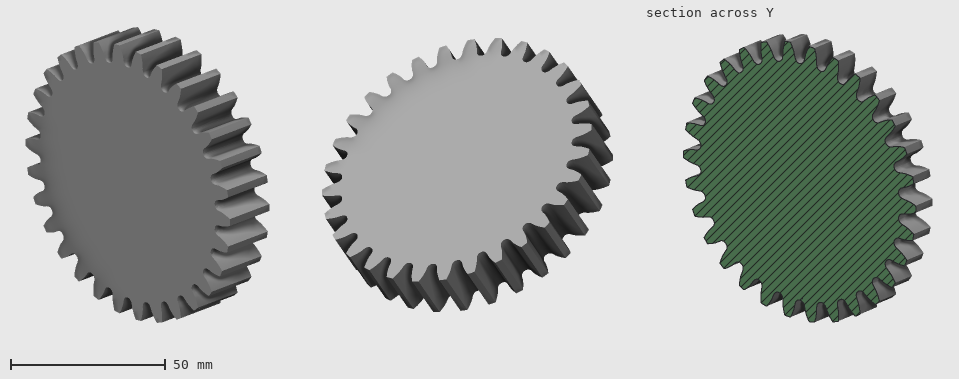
import cadquery as cq
import math

MODULE = 3.0
TOOTH_COUNT = 30
PRESSURE_ANGLE = math.radians(20)
PROFILE_SHIFT = -0.3
ADDENDUM = 1.0
DEDENDUM = 1.25
RACK_TIP_ROUNDING = 0.38
FACE_WIDTH = 18.0
CURVE_STEPS = 6

pitch_radius = MODULE * TOOTH_COUNT / 2
base_radius = pitch_radius * math.cos(PRESSURE_ANGLE)
tip_radius = pitch_radius + MODULE * (ADDENDUM + PROFILE_SHIFT)
root_depth = MODULE * (DEDENDUM - PROFILE_SHIFT)
root_radius = pitch_radius - root_depth
tooth_pitch = 2 * math.pi / TOOTH_COUNT
pitch_half_angle = (math.pi / 2 + 2 * PROFILE_SHIFT * math.tan(PRESSURE_ANGLE)) / TOOTH_COUNT

corner_radius = MODULE * RACK_TIP_ROUNDING
corner_depth = root_depth - corner_radius
corner_offset = (
    MODULE * math.pi / 4
    - (MODULE * DEDENDUM - corner_radius) * math.tan(PRESSURE_ANGLE)
    - corner_radius / math.cos(PRESSURE_ANGLE)
)


def involute(angle):
    return math.tan(angle) - angle


def flank_half_angle(radius):
    """Angle from the tooth's centre line to its involute flank at a radius."""
    return pitch_half_angle + involute(PRESSURE_ANGLE) - involute(math.acos(base_radius / radius))


def fillet_point(normal_angle):
    """Radius and angle from the gap's centre line of a point on the root fillet."""
    corner_x = corner_depth / math.tan(normal_angle)
    across = corner_x + corner_radius * math.cos(normal_angle)
    outward = pitch_radius - corner_depth - corner_radius * math.sin(normal_angle)
    gear_turn = (corner_x - corner_offset) / pitch_radius
    return math.hypot(across, outward), math.atan2(across, outward) - gear_turn


def spaced(start, end):
    return [start + (end - start) * i / CURVE_STEPS for i in range(CURVE_STEPS + 1)]


def cartesian(polar_points):
    return [(r * math.cos(a), r * math.sin(a)) for r, a in polar_points]


def mirrored(polar_points):
    """The same curve on the other side of the tooth, run the opposite way."""
    return [(r, -a) for r, a in reversed(polar_points)]


def turned(polar_points, turn):
    """Cartesian points of a curve rotated about the gear axis."""
    return cartesian([(r, a + turn) for r, a in polar_points])


fillet = []
for normal_angle in spaced(math.pi / 2, PRESSURE_ANGLE):
    fillet_radius, gap_angle = fillet_point(normal_angle)
    fillet.append((fillet_radius, gap_angle - tooth_pitch / 2))
flank_start_radius = fillet[-1][0]
flank = [(r, -flank_half_angle(r)) for r in spaced(flank_start_radius, tip_radius)]
flank[0] = fillet[-1]


def gear_outline():
    """Closed profile on the +Y face; each pass adds one tooth and the root land after it."""
    outline = cq.Workplane("XZ", origin=(0, FACE_WIDTH / 2, 0)).moveTo(*cartesian(fillet)[0])
    for tooth in range(TOOTH_COUNT):
        turn = tooth * tooth_pitch
        tip_arc = turned([(tip_radius, 0), mirrored(flank)[0]], turn)
        next_root = (fillet[0][0], fillet[0][1] + tooth_pitch)
        root_arc = turned([(root_radius, tooth_pitch / 2), next_root], turn)
        outline = outline.spline(turned(fillet, turn)[1:], includeCurrent=True)
        outline = outline.spline(turned(flank, turn)[1:], includeCurrent=True)
        outline = outline.threePointArc(*tip_arc)
        outline = outline.spline(turned(mirrored(flank), turn)[1:], includeCurrent=True)
        outline = outline.spline(turned(mirrored(fillet), turn)[1:], includeCurrent=True)
        outline = outline.threePointArc(*root_arc)
    return outline.close()


result = gear_outline().extrude(FACE_WIDTH)